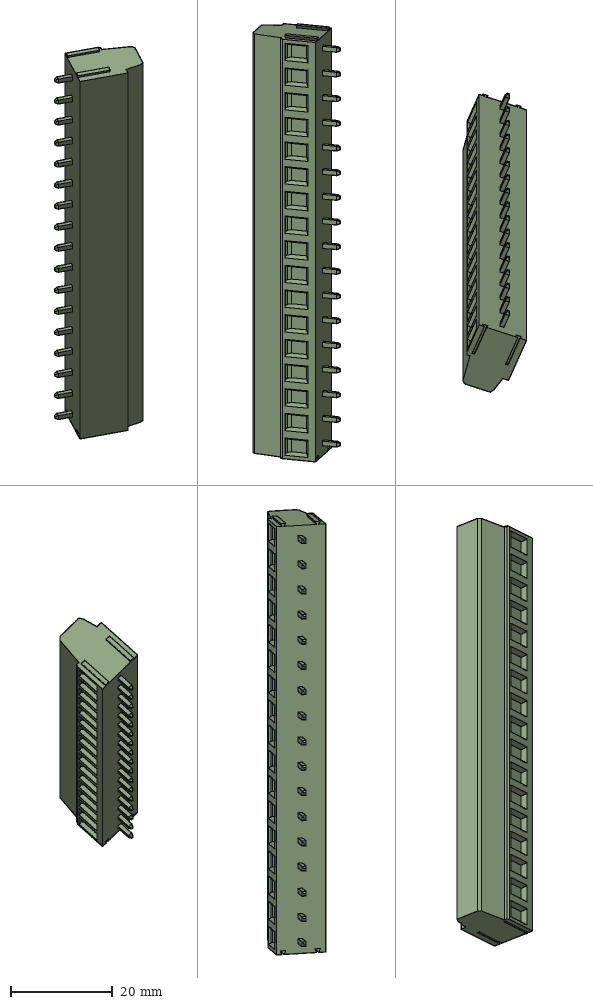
import cadquery as cq

pole_count = 17
total_height = 87.0
body_height = 86.35
pole_pitch = body_height / pole_count

body_width = 10.0
body_depth = 13.7
front_ledge_depth = 7.3
front_ledge_chamfer_width = 0.3
front_ledge_chamfer_depth = 0.5
back_ledge_depth = 9.9
crown_front_foot = 0.9
crown_front_shoulder = (1.65, 13.2)
crown_front_edge = 2.3
crown_back_edge = 7.65
crown_back_shoulder = (8.1, 13.0)
crown_back_foot = 8.8

dovetail_centers = (1.3, 8.35)
dovetail_length = 6.6
rib_height = total_height - body_height
groove_height = 0.8
dovetail_wide = 1.05
dovetail_narrow = 0.4

entry_start_y = 1.6
entry_end_y = 6.35
entry_height = 3.6
funnel_depth = 1.05
floor_start_y = 2.2
floor_end_y = 5.3
floor_height = 2.5
upright_wall_depth = 0.5
slant_wall_foot = (0.8, 6.1)

pin_center_x = 4.8
pin_width = 0.9
pin_height = 1.0
pin_length = 3.6
pin_tip_length = 0.6
pin_tip_size = 0.4


def make_housing():
    """Stepped cross-section drawn in XY and extruded along the row."""
    outline = [
        (0, 0),
        (0, front_ledge_depth - front_ledge_chamfer_depth),
        (front_ledge_chamfer_width, front_ledge_depth),
        (crown_front_foot, front_ledge_depth),
        crown_front_shoulder,
        (crown_front_edge, body_depth),
        (crown_back_edge, body_depth),
        crown_back_shoulder,
        (crown_back_foot, back_ledge_depth),
        (body_width, back_ledge_depth),
        (body_width, 0),
    ]
    return cq.Workplane("XY").polyline(outline).close().extrude(body_height)


def make_dovetail(center_x, base_z, height):
    """Bar along Y that widens upwards from its narrow foot at base_z."""
    section = [
        (center_x - dovetail_narrow / 2, base_z),
        (center_x + dovetail_narrow / 2, base_z),
        (center_x + dovetail_wide / 2, base_z + height),
        (center_x - dovetail_wide / 2, base_z + height),
    ]
    return cq.Workplane("XZ").polyline(section).close().extrude(-dovetail_length)


def make_entry(center_z):
    """Funnel from the -X face to a flat floor, its far side falling in three flats."""
    plan = [
        (0, entry_start_y),
        (0, entry_end_y),
        (upright_wall_depth, entry_end_y),
        slant_wall_foot,
        (funnel_depth, floor_end_y),
        (funnel_depth, floor_start_y),
    ]
    side = [
        (0, center_z - entry_height / 2),
        (0, center_z + entry_height / 2),
        (funnel_depth, center_z + floor_height / 2),
        (funnel_depth, center_z - floor_height / 2),
    ]
    plan_prism = (
        cq.Workplane("XY", origin=(0, 0, center_z))
        .polyline(plan)
        .close()
        .extrude(entry_height / 2, both=True)
    )
    side_prism = cq.Workplane("XZ").polyline(side).close().extrude(-body_depth)
    return plan_prism.intersect(side_prism)


def make_pin(center_z):
    """Rectangular pin along -Y with a tapered tip, rooted on the pin face."""
    shank_length = pin_length - pin_tip_length
    shank = (
        cq.Workplane("XZ", origin=(pin_center_x, 0, center_z))
        .rect(pin_width, pin_height)
        .extrude(shank_length)
    )
    tip = (
        cq.Workplane("XZ", origin=(pin_center_x, -shank_length, center_z))
        .rect(pin_width, pin_height)
        .workplane(offset=pin_tip_length)
        .rect(pin_tip_size, pin_tip_size)
        .loft(ruled=True)
    )
    return shank.union(tip)


result = make_housing()

for dovetail_x in dovetail_centers:
    result = result.cut(make_dovetail(dovetail_x, 0, groove_height))
    result = result.union(make_dovetail(dovetail_x, body_height, rib_height))

for pole in range(pole_count):
    pole_z = (pole + 0.5) * pole_pitch
    result = result.cut(make_entry(pole_z))
    result = result.union(make_pin(pole_z))